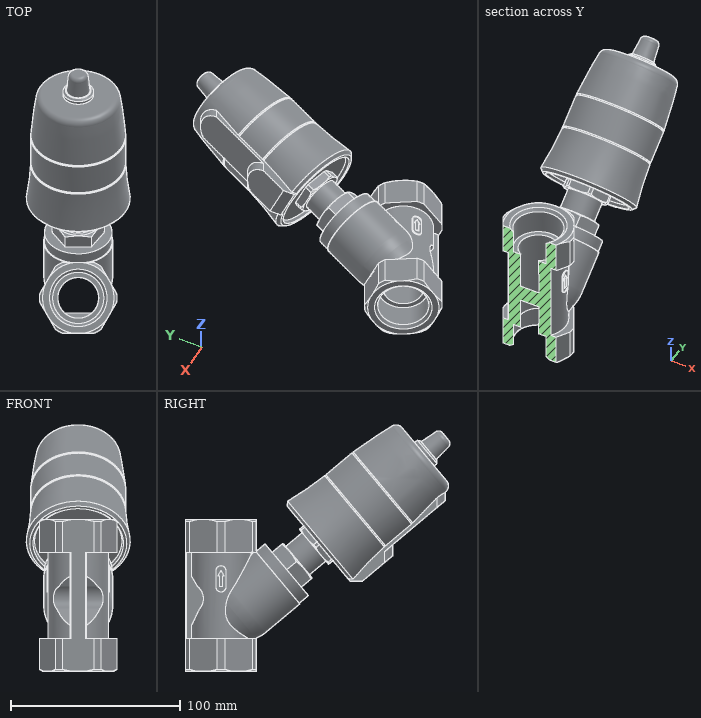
import cadquery as cq
import math


body_length = 90.0
body_diameter = 36.0
hex_height = 19.6
hex_across_flats = 42.0
hex_corner_diameter = 46.0
hex_face_diameter = 42.2
hex_chamfer_height = 1.3
bore_diameter = 24.0
thread_diameter = 30.29
thread_depth = 17.0
thread_mouth_diameter = 34.0
rib_width = 9.9
rib_front_width = 8.8
rib_bevel_depth = 0.5

relief_upper_tangent = (-13.8, 50.2)
relief_deepest = (-10.4, 43.6)
relief_lower_tangent = (-12.65, 37.1)
relief_open_y = -18.5
relief_upper_z = 58.2
relief_lower_z = 25.0
relief_wall = 1.6

badge_center_z = 54.8
badge_length = 15.5
badge_width = 5.9
badge_face_x = 18.55
arrow_depth = 0.25
arrow_tail_z = 50.3
arrow_head_z = 56.5
arrow_tip_z = 59.8
arrow_shaft_width = 2.0
arrow_head_width = 3.7

slant_angle = 40.0
slant_origin_z = 27.55

branch_diameter = 41.0
branch_nose_start = 10.8
branch_straight_start = 17.8
branch_end = 43.7
nose_angle = 17.0
collar_diameter = 40.0
collar_end = 50.8

nut_across_flats = 27.0
bonnet_nut_end = 59.2
bonnet_nut_face_diameter = 26.0
bonnet_nut_chamfer_height = 0.9
neck_diameter = 22.0
lock_nut_start = 71.8
lock_nut_corner_diameter = 30.0
lock_nut_face_diameter = 27.6
lock_nut_chamfer_height = 0.7

housing_start = 75.1
housing_rim = 77.2
skirt_top = 104.2
cap_bottom = 125.2
cap_shoulder = 152.6
housing_end = 157.1
rim_diameter = 61.58
rim_face_diameter = 57.4
barrel_diameter = 56.4
cap_shoulder_diameter = 50.4
cap_face_diameter = 41.0
skirt_bow = 0.45
cap_bow = 0.3
joint_groove_width = 0.9
joint_groove_depth = 0.3
recess_mouth_diameter = 53.5
recess_floor_diameter = 51.7
recess_depth = 2.0

seat_diameter = 18.2
seat_edge = 159.2
seat_end = 160.4
seat_face_diameter = 15.2
knob_base_diameter = 14.0
knob_shoulder_diameter = 11.9
knob_shoulder = 170.3
knob_end = 173.45
knob_tip_diameter = 6.4

pad_width = 18.0
pad_end_bulge = 5.0
pad_inner_offset = 20.0
pad_bottom_z = 53.3
pad_top_z = 145.0
upper_pad_end_y = 132.7
upper_pad_offset = 29.0
lower_pad_end_y = 101.7
lower_pad_offset = 34.0


def slanted(solid):
    """Move a shape built along Z onto the slanted axis; local +Y faces its underside."""
    angle = math.radians(slant_angle)
    plane = cq.Plane(
        origin=(0, 0, slant_origin_z),
        xDir=(1, 0, 0),
        normal=(0, math.cos(angle), math.sin(angle)),
    )
    return cq.Workplane(solid.val().located(cq.Location(plane)))


def cylinder(diameter, start, end):
    return cq.Workplane("XY").workplane(offset=start).circle(diameter / 2).extrude(end - start)


def hexagon(across_flats, start, end):
    """Hexagonal prism with two of its flats facing +Y and -Y."""
    corner_diameter = across_flats / math.cos(math.pi / 6)
    return cq.Workplane("XY").workplane(offset=start).polygon(6, corner_diameter).extrude(end - start)


def turned(points):
    """Solid of revolution about Z from a closed outline of (radius, height) points."""
    return cq.Workplane("XZ").polyline(points).close().revolve(360, (0, 0), (0, 1))


def chamfered_hexagon(across_flats, corner_diameter, face_diameter, chamfer_height, start, end):
    """Hexagon with turned-down corners and a conical chamfer on its lower end."""
    envelope = turned([
        (0, start),
        (face_diameter / 2, start),
        (corner_diameter / 2, start + chamfer_height),
        (corner_diameter / 2, end),
        (0, end),
    ])
    return hexagon(across_flats, start, end).intersect(envelope)


def both_ends(lower):
    """Join a lower-end feature with its mirror image at the upper end of the body."""
    middle = (0, 0, body_length / 2)
    return lower.union(lower.mirror("XY", basePointVector=middle))


def relief_outline():
    return (
        cq.Workplane("YZ")
        .moveTo(relief_open_y, relief_lower_z)
        .lineTo(*relief_lower_tangent)
        .threePointArc(relief_deepest, relief_upper_tangent)
        .lineTo(relief_open_y, relief_upper_z)
        .close()
    )


def make_rib():
    front_y = -hex_across_flats / 2
    bevel_y = front_y + rib_bevel_depth
    root_y = relief_deepest[0]
    half_rib = [
        (0, front_y),
        (rib_front_width / 2, front_y),
        (rib_width / 2, bevel_y),
        (rib_width / 2, root_y),
        (0, root_y),
    ]
    outline = cq.Workplane("XY").workplane(offset=hex_height).polyline(half_rib).mirrorY()
    return outline.extrude(body_length - 2 * hex_height)


def make_badge():
    """Raised badge on the +X side with an engraved arrow pointing up."""
    root_x = bore_diameter / 2 + relief_wall
    badge = (
        cq.Workplane("YZ", origin=(root_x, 0, badge_center_z))
        .slot2D(badge_length, badge_width, 90)
        .extrude(badge_face_x - root_x)
    )
    half_shaft = arrow_shaft_width / 2
    half_head = arrow_head_width / 2
    arrow = (
        cq.Workplane("YZ", origin=(badge_face_x - arrow_depth, 0, 0))
        .polyline([
            (-half_shaft, arrow_tail_z),
            (half_shaft, arrow_tail_z),
            (half_shaft, arrow_head_z),
            (half_head, arrow_head_z),
            (0, arrow_tip_z),
            (-half_head, arrow_head_z),
            (-half_shaft, arrow_head_z),
        ])
        .close()
        .extrude(arrow_depth)
    )
    return badge.cut(arrow)


def make_branch():
    """Branch with a rounded nose that sinks into the body, and a slightly smaller collar."""
    radius = branch_diameter / 2
    angle = math.radians(nose_angle)
    curve_radius = (branch_straight_start - branch_nose_start) / math.sin(angle)
    nose_radius = radius - curve_radius * (1 - math.cos(angle))
    half_angle_radius = radius - curve_radius * (1 - math.cos(angle / 2))
    half_angle_height = branch_straight_start - curve_radius * math.sin(angle / 2)
    inner_radius = nose_radius - branch_nose_start * math.tan(angle)
    return (
        cq.Workplane("XZ")
        .moveTo(0, 0)
        .lineTo(inner_radius, 0)
        .lineTo(nose_radius, branch_nose_start)
        .threePointArc((half_angle_radius, half_angle_height), (radius, branch_straight_start))
        .lineTo(radius, branch_end)
        .lineTo(collar_diameter / 2, branch_end)
        .lineTo(collar_diameter / 2, collar_end)
        .lineTo(0, collar_end)
        .close()
        .revolve(360, (0, 0), (0, 1))
    )


def make_bonnet():
    recess_floor = housing_start + recess_depth
    corner_radius = nut_across_flats / 2 / math.cos(math.pi / 6)
    bonnet_nut_envelope = turned([
        (0, collar_end),
        (corner_radius, collar_end),
        (corner_radius, bonnet_nut_end - bonnet_nut_chamfer_height),
        (bonnet_nut_face_diameter / 2, bonnet_nut_end),
        (0, bonnet_nut_end),
    ])
    bonnet_nut = hexagon(nut_across_flats, collar_end, bonnet_nut_end).intersect(bonnet_nut_envelope)
    neck = cylinder(neck_diameter, bonnet_nut_end, recess_floor)
    lock_nut = chamfered_hexagon(
        nut_across_flats,
        lock_nut_corner_diameter,
        lock_nut_face_diameter,
        lock_nut_chamfer_height,
        lock_nut_start,
        recess_floor,
    )
    return bonnet_nut.union(neck).union(lock_nut)


def make_housing():
    """Turned actuator housing: flared skirt, straight barrel and rounded cap."""
    rim_radius = rim_diameter / 2
    barrel_radius = barrel_diameter / 2
    shoulder_radius = cap_shoulder_diameter / 2
    face_radius = cap_face_diameter / 2
    skirt_middle = ((rim_radius + barrel_radius) / 2 - skirt_bow, (housing_rim + skirt_top) / 2)
    cap_middle = ((barrel_radius + shoulder_radius) / 2 + cap_bow, (cap_bottom + cap_shoulder) / 2)
    corner_point = (
        face_radius + (shoulder_radius - face_radius) * math.sin(math.pi / 4),
        cap_shoulder + (housing_end - cap_shoulder) * math.sin(math.pi / 4),
    )
    housing = (
        cq.Workplane("XZ")
        .moveTo(0, housing_start)
        .lineTo(rim_face_diameter / 2, housing_start)
        .lineTo(rim_radius, housing_rim)
        .threePointArc(skirt_middle, (barrel_radius, skirt_top))
        .lineTo(barrel_radius, cap_bottom)
        .threePointArc(cap_middle, (shoulder_radius, cap_shoulder))
        .threePointArc(corner_point, (face_radius, housing_end))
        .lineTo(0, housing_end)
        .close()
        .revolve(360, (0, 0), (0, 1))
    )
    for joint in (skirt_top, cap_bottom):
        start = joint - joint_groove_width / 2
        end = joint + joint_groove_width / 2
        ring = cylinder(rim_diameter, start, end)
        core = cylinder(barrel_diameter - 2 * joint_groove_depth, start, end)
        housing = housing.cut(ring.cut(core))
    return housing


def make_recess():
    floor = housing_start + recess_depth
    return turned([
        (0, housing_start),
        (recess_mouth_diameter / 2, housing_start),
        (recess_floor_diameter / 2, floor),
        (0, floor),
    ])


def make_indicator():
    """Chamfered seat and tapered knob with a rounded tip."""
    shoulder_radius = knob_shoulder_diameter / 2
    tip_radius = knob_tip_diameter / 2
    tip_point = (
        tip_radius + (shoulder_radius - tip_radius) * math.sin(math.pi / 4),
        knob_shoulder + (knob_end - knob_shoulder) * math.sin(math.pi / 4),
    )
    return (
        cq.Workplane("XZ")
        .moveTo(0, housing_end)
        .lineTo(seat_diameter / 2, housing_end)
        .lineTo(seat_diameter / 2, seat_edge)
        .lineTo(seat_face_diameter / 2, seat_end)
        .lineTo(knob_base_diameter / 2, seat_end)
        .lineTo(shoulder_radius, knob_shoulder)
        .threePointArc(tip_point, (tip_radius, knob_end))
        .lineTo(0, knob_end)
        .close()
        .revolve(360, (0, 0), (0, 1))
    )


def make_pad(end_y, offset):
    """Flat pad parallel to the slanted axis, with an upright arched end at end_y."""
    half_width = pad_width / 2
    shoulder_y = end_y - pad_end_bulge
    column = (
        cq.Workplane("XY")
        .workplane(offset=pad_bottom_z)
        .moveTo(-half_width, 0)
        .lineTo(-half_width, shoulder_y)
        .threePointArc((0, end_y), (half_width, shoulder_y))
        .lineTo(half_width, 0)
        .close()
        .extrude(pad_top_z - pad_bottom_z)
    )
    slab = (
        cq.Workplane("XY")
        .workplane(offset=housing_start)
        .center(0, (pad_inner_offset + offset) / 2)
        .rect(pad_width, offset - pad_inner_offset)
        .extrude(housing_end - housing_start)
    )
    return column.intersect(slanted(slab))


end_hex = chamfered_hexagon(
    hex_across_flats, hex_corner_diameter, hex_face_diameter, hex_chamfer_height, 0, hex_height
)
relief = relief_outline().extrude(body_diameter / 2, both=True)
badge = make_badge()
body = cylinder(body_diameter, 0, body_length).cut(relief)
body = body.union(both_ends(end_hex)).union(make_rib())
body = body.union(badge).union(badge.mirror("YZ"))
body = body.union(slanted(make_branch()))

thread_chamfer = (thread_mouth_diameter - thread_diameter) / 2
thread = turned([
    (0, 0),
    (thread_mouth_diameter / 2, 0),
    (thread_diameter / 2, thread_chamfer),
    (thread_diameter / 2, thread_depth),
    (0, thread_depth),
])
relief_backing = relief_outline().offset2D(relief_wall).extrude(body_diameter / 2, both=True)
passage = cylinder(bore_diameter, 0, body_length).cut(relief_backing)
body = body.cut(passage).cut(both_ends(thread))

actuator = slanted(make_housing())
actuator = actuator.union(make_pad(upper_pad_end_y, upper_pad_offset))
actuator = actuator.union(make_pad(lower_pad_end_y, lower_pad_offset))
actuator = actuator.cut(slanted(make_recess()))
actuator = actuator.union(slanted(make_indicator()))

result = body.union(slanted(make_bonnet())).union(actuator)